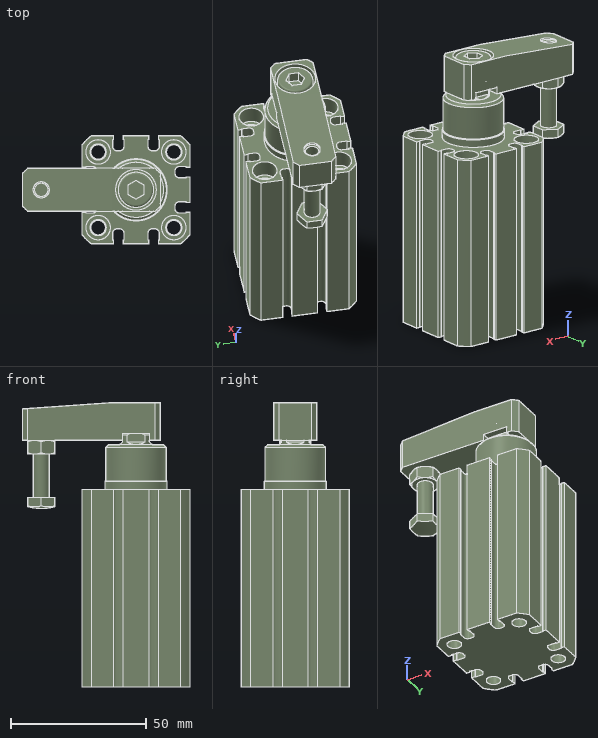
import cadquery as cq
import math

HEIGHT = 105.0
LENGTH = 62.0

BODY_SIDE = 40.0
BODY_HEIGHT = 73.0
CORNER_DIA = 51.9
MOUNT_OFFSET = 14.0
MOUNT_BORE_DIA = 9.0
MOUNT_BORE_DEPTH = 7.0
MOUNT_HOLE_DIA = 5.4
MOUNT_SINK_DIA = 6.0
SLOT_OFFSET = 6.5
SLOT_MOUTH = 3.5
SLOT_WIDTH = 4.1
SLOT_DEPTH = 5.6
SLOT_LIP = 1.5
SLOT_RADIUS = 1.6

RING_DIA = 23.0
RING_TOP = 76.1
COLLAR_DIA = 22.5
COLLAR_TOP = 89.5
COLLAR_CHAMFER = 1.0

ROD_DIA = 12.0
ROD_SQUARE = 10.0
ROD_CHAMFER = 0.5

ARM_TIP = LENGTH - BODY_SIDE / 2
ARM_HEEL = 9.0
ARM_WIDTH = 16.0
ARM_THICKNESS = 14.0
ARM_BOTTOM = HEIGHT - ARM_THICKNESS
ARM_CHAMFER = 2.0
SLOPE_START = 9.0
SLOPE_ANGLE = 4.0
KEYWAY_DEPTH = 2.5
KEYWAY_TOP = ARM_BOTTOM + KEYWAY_DEPTH
HEAD_BORE_DIA = 15.0
HEAD_BORE_DEPTH = 8.2
HEAD_BORE_FLOOR = HEIGHT - HEAD_BORE_DEPTH
SCREW_CLEARANCE_DIA = 9.0

SCREW_DIA = 8.0
SCREW_HEAD_DIA = 13.0
SCREW_HEAD_HEIGHT = 8.0
SCREW_HEAD_FILLET = 0.8
SCREW_TIP = 77.7
SOCKET_FLATS = 6.0
SOCKET_DEPTH = 4.2

BOLT_X = -35.0
BOLT_DIA = 6.0
BOLT_GRIP = 6.3
ARM_HOLE_DIA = 4.9
ARM_HOLE_SINK_Z = 102.6
HEX_FLATS = 10.0
NUT_HEIGHT = 5.0
NUT_CHAMFER_ANGLE = 30.0
BOLT_BOTTOM = 65.8
BOLT_HEAD_HEIGHT = 4.2
BOLT_DOME_RADIUS = 17.8


def rod(diameter, bottom, top, x=0, y=0):
    """Vertical cylinder between two levels."""
    return cq.Workplane("XY", origin=(x, y, bottom)).circle(diameter / 2).extrude(top - bottom)


def cone(bottom_dia, top_dia, bottom, top, x=0, y=0):
    """Vertical truncated cone between two levels."""
    frustum = cq.Solid.makeCone(bottom_dia / 2, top_dia / 2, top - bottom, cq.Vector(x, y, bottom))
    return cq.Workplane(frustum)


def hexagon(flats, bottom, top, x=0):
    """Hexagonal prism with two flats facing -X and +X."""
    across_corners = flats / math.cos(math.pi / 6)
    prism = cq.Workplane("XY").polygon(6, across_corners).extrude(top - bottom)
    return prism.rotate((0, 0, 0), (0, 0, 1), 30).translate((x, 0, bottom))


def sensor_slot():
    """Undercut slot that opens on the +Y side of the body, over its full height."""
    side = BODY_SIDE / 2
    bottom = side - SLOT_DEPTH
    mouth = cq.Workplane("XY").rect(SLOT_MOUTH, 2 * SLOT_LIP).extrude(BODY_HEIGHT)
    mouth = mouth.translate((0, side, 0))
    channel_depth = SLOT_DEPTH - SLOT_LIP
    channel = cq.Workplane("XY").rect(SLOT_WIDTH, channel_depth).extrude(BODY_HEIGHT)
    channel = channel.edges("|Z and <Y").fillet(SLOT_RADIUS)
    channel = channel.translate((0, bottom + channel_depth / 2, 0))
    return channel.union(mouth)


def mounting_hole(x, y):
    """Counterbored through hole, chamfered where it leaves the counterbore."""
    floor = BODY_HEIGHT - MOUNT_BORE_DEPTH
    sink_depth = (MOUNT_SINK_DIA - MOUNT_HOLE_DIA) / 2
    hole = rod(MOUNT_HOLE_DIA, 0, BODY_HEIGHT, x, y)
    hole = hole.union(cone(MOUNT_HOLE_DIA, MOUNT_SINK_DIA, floor - sink_depth, floor, x, y))
    return hole.union(rod(MOUNT_BORE_DIA, floor, BODY_HEIGHT, x, y))


def make_profile_body():
    body = cq.Workplane("XY").rect(BODY_SIDE, BODY_SIDE).extrude(BODY_HEIGHT)
    body = body.intersect(rod(CORNER_DIA, 0, BODY_HEIGHT))
    for turn in range(4):
        for offset in (-SLOT_OFFSET, SLOT_OFFSET):
            slot = sensor_slot().translate((offset, 0, 0))
            body = body.cut(slot.rotate((0, 0, 0), (0, 0, 1), 90 * turn))
    for x in (-MOUNT_OFFSET, MOUNT_OFFSET):
        for y in (-MOUNT_OFFSET, MOUNT_OFFSET):
            body = body.cut(mounting_hole(x, y))
    return body


def make_collar():
    step = (RING_DIA - COLLAR_DIA) / 2
    ring = rod(RING_DIA, BODY_HEIGHT, RING_TOP).faces(">Z").chamfer(step)
    sleeve = rod(COLLAR_DIA, BODY_HEIGHT, COLLAR_TOP).faces(">Z").chamfer(COLLAR_CHAMFER)
    return ring.union(sleeve)


def make_rod_tip():
    """Round rod with four flats that run out at 45 degrees on the collar top."""
    runout = (ROD_DIA - ROD_SQUARE) / 2
    flats_bottom = COLLAR_TOP + runout
    tip = rod(ROD_DIA, COLLAR_TOP, KEYWAY_TOP).faces(">Z").chamfer(ROD_CHAMFER)
    square = cq.Workplane("XY", origin=(0, 0, flats_bottom)).rect(ROD_SQUARE, ROD_SQUARE)
    square = square.extrude(KEYWAY_TOP - flats_bottom)
    flare = cq.Workplane("XY", origin=(0, 0, COLLAR_TOP)).rect(ROD_DIA, ROD_DIA)
    flare = flare.workplane(offset=runout).rect(ROD_SQUARE, ROD_SQUARE).loft()
    return tip.intersect(square.union(flare))


def make_cylinder():
    """Body, collar and rod tip as one solid, with a hole for the cap screw."""
    cylinder = make_profile_body().union(make_collar()).union(make_rod_tip())
    return cylinder.cut(rod(SCREW_DIA, SCREW_TIP, KEYWAY_TOP))


def make_arm():
    tip_drop = (ARM_TIP - SLOPE_START) * math.tan(math.radians(SLOPE_ANGLE))
    side_outline = [
        (-ARM_TIP, ARM_BOTTOM),
        (ARM_HEEL, ARM_BOTTOM),
        (ARM_HEEL, HEIGHT),
        (-SLOPE_START, HEIGHT),
        (-ARM_TIP, HEIGHT - tip_drop),
    ]
    arm = cq.Workplane("XZ").polyline(side_outline).close().extrude(ARM_WIDTH / 2, both=True)
    arm = arm.edges("|Z").chamfer(ARM_CHAMFER)

    keyway = cq.Workplane("XY", origin=(0, 0, ARM_BOTTOM)).rect(ROD_SQUARE, ARM_WIDTH)
    arm = arm.cut(keyway.extrude(KEYWAY_DEPTH))
    arm = arm.cut(rod(SCREW_CLEARANCE_DIA, ARM_BOTTOM, HEIGHT))
    arm = arm.cut(rod(HEAD_BORE_DIA, HEAD_BORE_FLOOR, HEIGHT))

    sink_bottom = ARM_HOLE_SINK_Z - (BOLT_DIA - ARM_HOLE_DIA) / 2
    arm = arm.cut(rod(ARM_HOLE_DIA, ARM_BOTTOM, HEIGHT, BOLT_X))
    arm = arm.cut(rod(BOLT_DIA, ARM_BOTTOM, ARM_BOTTOM + BOLT_GRIP, BOLT_X))
    arm = arm.cut(cone(ARM_HOLE_DIA, BOLT_DIA, sink_bottom, ARM_HOLE_SINK_Z, BOLT_X))
    return arm.cut(rod(BOLT_DIA, ARM_HOLE_SINK_Z, HEIGHT, BOLT_X))


def make_cap_screw():
    head_top = HEAD_BORE_FLOOR + SCREW_HEAD_HEIGHT
    head = rod(SCREW_HEAD_DIA, HEAD_BORE_FLOOR, head_top).faces(">Z").edges().fillet(SCREW_HEAD_FILLET)
    screw = head.union(rod(SCREW_DIA, SCREW_TIP, HEAD_BORE_FLOOR))
    return screw.cut(hexagon(SOCKET_FLATS, head_top - SOCKET_DEPTH, head_top))


def make_lock_nut():
    """Hexagon with its corners turned off at both ends."""
    bottom = ARM_BOTTOM - NUT_HEIGHT
    slope = math.tan(math.radians(NUT_CHAMFER_ANGLE))
    end_radius = HEX_FLATS / 2
    half_height = NUT_HEIGHT / 2
    waist_radius = end_radius + half_height / slope
    profile = [
        (0, bottom),
        (end_radius, bottom),
        (waist_radius, bottom + half_height),
        (end_radius, ARM_BOTTOM),
        (0, ARM_BOTTOM),
    ]
    envelope = cq.Workplane("XZ").polyline(profile).close().revolve(360, (0, 0, 0), (0, 1, 0))
    return hexagon(HEX_FLATS, bottom, ARM_BOTTOM, BOLT_X).intersect(envelope.translate((BOLT_X, 0, 0)))


def make_adjusting_bolt():
    """Hexagon bolt with a domed head, carrying its lock nut against the arm."""
    head_top = BOLT_BOTTOM + BOLT_HEAD_HEIGHT
    dome = cq.Workplane("XY").sphere(BOLT_DOME_RADIUS)
    dome = dome.translate((BOLT_X, 0, BOLT_BOTTOM + BOLT_DOME_RADIUS))
    head = hexagon(HEX_FLATS, BOLT_BOTTOM, head_top, BOLT_X).intersect(dome)
    shank = rod(BOLT_DIA, head_top, ARM_BOTTOM + BOLT_GRIP, BOLT_X)
    return head.union(shank).union(make_lock_nut())


cylinder = make_cylinder()
arm = make_arm()
cap_screw = make_cap_screw()
adjusting_bolt = make_adjusting_bolt()

result = cq.Compound.makeCompound([
    cylinder.solids().val(),
    arm.solids().val(),
    cap_screw.solids().val(),
    adjusting_bolt.solids().val(),
])